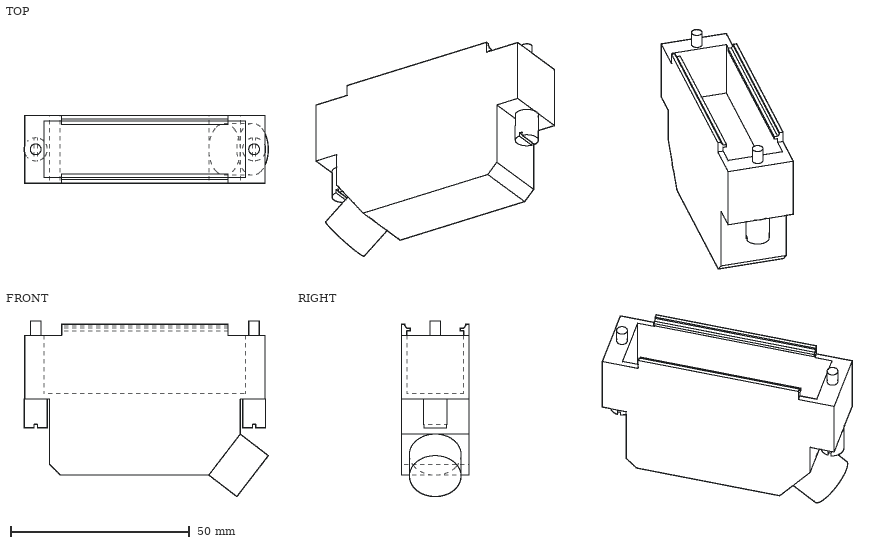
import cadquery as cq
import math

housing_length = 67.3
depth = 19.0
housing_height = 17.8
wall = 1.6

body_length = 53.35
body_bottom = -39.1
corner_chamfer = 3.0
port_chamfer_x = 8.8
port_chamfer_z = 11.5

cavity_length = 56.4
cavity_depth = housing_height - wall

rail_length = 46.5
rail_height = 3.15
rail_top_width = 1.0
rail_step_drop = 0.5
rail_tip_width = 2.5
rail_tip_top = 2.05
rail_tip_bottom = 1.2
rail_neck_width = wall

screw_spacing = 61.1
pin_diameter = 3.0
pin_height = 4.0
head_diameter = 6.5
head_height = 8.05
slot_width = 0.9
slot_depth = 1.0

port_diameter = 14.5
port_length = 9.9


def make_body():
    """Wide housing and lower body with its two sloping corners."""
    housing = cq.Workplane("XY").box(
        housing_length, depth, housing_height, centered=(True, True, False)
    ).translate((0, 0, -housing_height))
    half = body_length / 2
    lower = (
        cq.Workplane("XZ")
        .moveTo(-half, -housing_height)
        .lineTo(-half, body_bottom + corner_chamfer)
        .lineTo(-half + corner_chamfer, body_bottom)
        .lineTo(half - port_chamfer_x, body_bottom)
        .lineTo(half, body_bottom + port_chamfer_z)
        .lineTo(half, -housing_height)
        .close()
        .extrude(depth / 2, both=True)
    )
    return housing.union(lower)


def make_cavity():
    return cq.Workplane("XY").box(
        cavity_length, depth - 2 * wall, cavity_depth, centered=(True, True, False)
    ).translate((0, 0, -cavity_depth))


def make_rail(side):
    """Hooked rail on the long edge at side = -1 (-Y) or +1 (+Y)."""
    profile = [
        (0, 0),
        (0, rail_height),
        (rail_top_width, rail_height),
        (rail_top_width, rail_height - rail_step_drop),
        (rail_neck_width, rail_tip_top),
        (rail_tip_width, rail_tip_top),
        (rail_tip_width, rail_tip_bottom),
        (rail_neck_width, rail_tip_bottom),
        (rail_neck_width, 0),
    ]
    points = [(side * (depth / 2 - inward), z) for inward, z in profile]
    return cq.Workplane("YZ").polyline(points).close().extrude(rail_length / 2, both=True)


def make_screw(x):
    """Pin on the top face and slotted head under the housing."""
    pin = cq.Workplane("XY").center(x, 0).circle(pin_diameter / 2).extrude(pin_height)
    head = (
        cq.Workplane("XY", origin=(x, 0, -housing_height))
        .circle(head_diameter / 2)
        .extrude(-head_height)
    )
    slot = cq.Workplane("XY").box(
        slot_width, head_diameter, slot_depth, centered=(True, True, False)
    ).translate((x, 0, -housing_height - head_height))
    return pin, head.cut(slot)


def make_port():
    """Cylinder standing square on the large sloping corner."""
    slope_length = math.hypot(port_chamfer_x, port_chamfer_z)
    outward = (port_chamfer_z / slope_length, 0, -port_chamfer_x / slope_length)
    slope_centre = (
        (body_length - port_chamfer_x) / 2,
        0,
        body_bottom + port_chamfer_z / 2,
    )
    plane = cq.Plane(origin=slope_centre, xDir=(0, 1, 0), normal=outward)
    return cq.Workplane(plane).circle(port_diameter / 2).extrude(port_length)


result = make_body().cut(make_cavity()).union(make_port())
for side in (-1, 1):
    result = result.union(make_rail(side))
    pin, head = make_screw(side * screw_spacing / 2)
    result = result.union(pin).union(head)